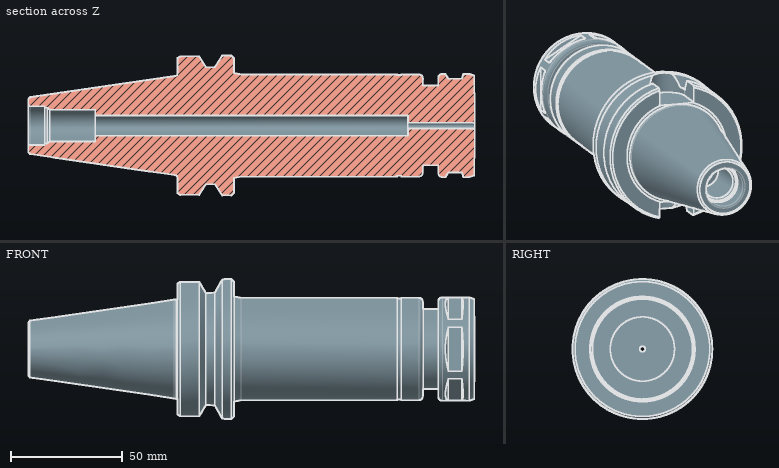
import cadquery as cq
import math

diagonal = math.sqrt(0.5)

overall_length = 200.5
gauge_plane = 65.3
flange_start = 67.0
front_rim_end = 76.8
groove_floor_start = 79.8
groove_floor_end = 83.8
rear_rim_start = 87.0
flange_end = 92.4
ring_groove_start = 165.5
ring_groove_end = 167.3
body_end = 177.2
nut_start = 184.0
nut_end = 200.2

taper_ratio = 7 / 24
gauge_radius = 22.2
small_end_radius = gauge_radius - gauge_plane * taper_ratio / 2
small_end_chamfer = 0.8

collar_end = 66.5
collar_radius = 22.5
collar_foot_radius = 23.6

front_rim_radius = 31.3
front_rim_bevel_length = 1.2
front_rim_bevel_drop = 0.8
groove_radius = 26.5
rear_rim_radius = 31.5
rear_rim_chamfer = 1.2
body_flare_length = 3.0
body_flare_rise = 0.6

body_radius = 23.0
ring_groove_depth = 0.3
body_end_fillet = 2.0
neck_radius = 18.0
nut_radius = 23.2
nut_fillet = 1.8
nut_bevel_length = 2.2
nut_bevel_drop = 0.8
nose_radius = 14.5

slot_width = 16.2
slot_floor = collar_radius
slot_tip = 88.4

pocket_count = 6
pocket_floor = 21.0
pocket_width = 20.0
pocket_floor_start = 188.5
pocket_floor_end = 194.5
pocket_start_slope = 1.5
pocket_end_slope = 0.6

mouth_radius = 9.5
mouth_fillet = 0.8
counterbore_depth = 7.5
thread_mouth_radius = 8.0
thread_radius = 14.2 / 2
thread_mouth_depth = 8.6
thread_chamfer_end = 9.6
thread_depth = 30.0
coolant_radius = 9.0 / 2
coolant_depth = 170.3
pilot_radius = 2.5 / 2


def make_holder():
    """Revolve the outer profile of shank, flange, body, neck and nut about X."""
    groove_bottom = body_radius - ring_groove_depth
    return (
        cq.Workplane("XY")
        .moveTo(0, 0)
        .lineTo(0, small_end_radius - small_end_chamfer)
        .lineTo(small_end_chamfer, small_end_radius + small_end_chamfer * taper_ratio / 2)
        .lineTo(gauge_plane, gauge_radius)
        .lineTo(collar_end, collar_radius)
        .lineTo(flange_start, collar_foot_radius)
        .lineTo(flange_start, front_rim_radius - front_rim_bevel_drop)
        .lineTo(flange_start + front_rim_bevel_length, front_rim_radius)
        .lineTo(front_rim_end, front_rim_radius)
        .lineTo(groove_floor_start, groove_radius)
        .lineTo(groove_floor_end, groove_radius)
        .lineTo(rear_rim_start, rear_rim_radius)
        .lineTo(flange_end - rear_rim_chamfer, rear_rim_radius)
        .lineTo(flange_end, rear_rim_radius - rear_rim_chamfer)
        .lineTo(flange_end, body_radius + body_flare_rise)
        .lineTo(flange_end + body_flare_length, body_radius)
        .lineTo(ring_groove_start, body_radius)
        .lineTo(ring_groove_start, groove_bottom)
        .lineTo(ring_groove_end, groove_bottom)
        .lineTo(ring_groove_end, body_radius)
        .lineTo(body_end - body_end_fillet, body_radius)
        .threePointArc(
            (body_end - body_end_fillet * (1 - diagonal), body_radius - body_end_fillet * (1 - diagonal)),
            (body_end, body_radius - body_end_fillet),
        )
        .lineTo(body_end, neck_radius)
        .lineTo(nut_start, neck_radius)
        .lineTo(nut_start, nut_radius - nut_fillet)
        .threePointArc(
            (nut_start + nut_fillet * (1 - diagonal), nut_radius - nut_fillet * (1 - diagonal)),
            (nut_start + nut_fillet, nut_radius),
        )
        .lineTo(nut_end - nut_bevel_length, nut_radius)
        .lineTo(nut_end, nut_radius - nut_bevel_drop)
        .lineTo(nut_end, nose_radius)
        .lineTo(overall_length, nose_radius)
        .lineTo(overall_length, 0)
        .close()
        .revolve(360, (0, 0, 0), (1, 0, 0))
    )


def make_bore():
    """Stepped bore: counterbore, thread hole, coolant hole and pilot through the nose."""
    counterbore_radius = mouth_radius - mouth_fillet
    return (
        cq.Workplane("XY")
        .moveTo(0, 0)
        .lineTo(0, mouth_radius)
        .threePointArc(
            (mouth_fillet * (1 - diagonal), mouth_radius - mouth_fillet * diagonal),
            (mouth_fillet, counterbore_radius),
        )
        .lineTo(counterbore_depth, counterbore_radius)
        .lineTo(counterbore_depth, thread_mouth_radius)
        .lineTo(thread_mouth_depth, thread_mouth_radius)
        .lineTo(thread_chamfer_end, thread_radius)
        .lineTo(thread_depth, thread_radius)
        .lineTo(thread_depth, coolant_radius)
        .lineTo(coolant_depth, coolant_radius)
        .lineTo(coolant_depth, pilot_radius)
        .lineTo(overall_length, pilot_radius)
        .lineTo(overall_length, 0)
        .close()
        .revolve(360, (0, 0, 0), (1, 0, 0))
    )


def make_drive_slot():
    """Round-ended slot open at the shank face of the flange, on the +Z side."""
    half_width = slot_width / 2
    round_center = slot_tip - half_width
    return (
        cq.Workplane("XY", origin=(0, 0, slot_floor))
        .moveTo(collar_end, -half_width)
        .lineTo(round_center, -half_width)
        .threePointArc((slot_tip, 0), (round_center, half_width))
        .lineTo(collar_end, half_width)
        .close()
        .extrude(rear_rim_radius)
    )


def make_wrench_pocket():
    """Flat-floored pocket with sloped end walls, on the -Y side of the nut."""
    depth = nut_radius - pocket_floor
    return (
        cq.Workplane("XY")
        .moveTo(pocket_floor_start, -pocket_floor)
        .lineTo(pocket_floor_end, -pocket_floor)
        .lineTo(pocket_floor_end + pocket_end_slope, -pocket_floor - depth)
        .lineTo(pocket_floor_start - pocket_start_slope, -pocket_floor - depth)
        .close()
        .extrude(pocket_width / 2, both=True)
    )


result = make_holder().cut(make_bore())

drive_slot = make_drive_slot()
for angle in (0, 180):
    result = result.cut(drive_slot.rotate((0, 0, 0), (1, 0, 0), angle))

wrench_pocket = make_wrench_pocket()
for index in range(pocket_count):
    angle = index * 360 / pocket_count
    result = result.cut(wrench_pocket.rotate((0, 0, 0), (1, 0, 0), angle))